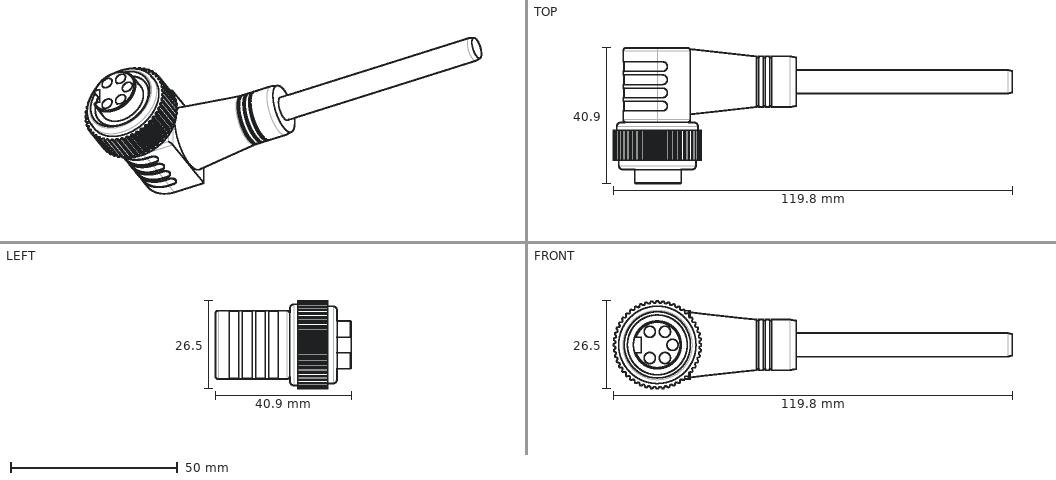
import cadquery as cq
import math


total_length = 119.8
total_depth = 40.9

elbow_radius = 10.3
elbow_right = 10.0
elbow_back = 10.2
elbow_front = -12.2
elbow_edge_fillet = 1.0
cone_base_radius = 9.8
sleeve_radius = 7.7
cone_end = 29.4
sleeve_end = 41.7
sleeve_tip_length = 1.9
sleeve_tip_drop = 0.4

ring_count = 3
ring_first = 30.2
ring_pitch = 1.9
ring_width = 0.6
ring_depth = 0.4

grip_count = 4
grip_pitch = 4.0
grip_width = 2.9
grip_depth = 0.2
grip_reach = 3.0
grip_first = -7.3

knurl_diameter = 26.5
knurl_radius = knurl_diameter / 2
knurl_depth = 0.6
tooth_count = 48
tooth_tip_share = 0.25
tooth_root_share = 0.25
knurl_back = -14.5
knurl_front = -23.6
back_collar_radius = 12.2
front_collar_radius = 11.6
collar_fillet = 1.2
nut_front = -26.4
recess_radius = 9.0
recess_depth = 1.2
recess_chamfer = 1.0

insert_radius = 7.2
insert_edge_chamfer = 0.4
insert_front = elbow_back - total_depth
socket_circle_radius = 4.5
socket_diameter = 3.4
socket_depth = 6.0
socket_angles = [-120, -60, 0, 60, 120]
key_slot_width = 4.7
key_slot_floor = 4.8

cable_radius = 3.6
cable_end = total_length - knurl_radius
cable_tip_length = 1.4
cable_tip_drop = 0.4


def xz_plane(y):
    """Work plane facing -Y at the given Y; its local axes are X and Z."""
    return cq.Workplane("XZ", origin=(0, y, 0))


def disc(radius, back, front):
    """Cylinder on the coupling axis from Y = back down to Y = front."""
    return xz_plane(back).circle(radius).extrude(back - front)


def elbow_block(offset, back, front):
    """D-shaped block whose round side faces -X, shrunk by offset on the round and flat sides."""
    radius = elbow_radius - offset
    return (
        xz_plane(back)
        .moveTo(elbow_right, radius)
        .lineTo(0, radius)
        .threePointArc((-radius, 0), (0, -radius))
        .lineTo(elbow_right, -radius)
        .close()
        .extrude(back - front)
    )


def cable_outlet():
    """Tapered outlet, plain sleeve and slightly drawn-in tip, turned about the cable axis."""
    return (
        cq.Workplane("XY")
        .moveTo(elbow_right, 0)
        .lineTo(elbow_right, cone_base_radius)
        .lineTo(cone_end, sleeve_radius)
        .lineTo(sleeve_end - sleeve_tip_length, sleeve_radius)
        .lineTo(sleeve_end, sleeve_radius - sleeve_tip_drop)
        .lineTo(sleeve_end, 0)
        .close()
        .revolve(360, (0, 0, 0), (1, 0, 0))
    )


def ring_groove(center):
    """Ring of material to remove around the cable outlet."""
    outer_radius = sleeve_radius + ring_width
    return (
        cq.Workplane("YZ", origin=(center - ring_width / 2, 0, 0))
        .circle(outer_radius)
        .circle(sleeve_radius - ring_depth)
        .extrude(ring_width)
    )


def grip_groove(center):
    """Shallow groove around the round side, ending in half rounds on the two flats."""
    half_width = grip_width / 2
    round_center = grip_reach - half_width
    left = -elbow_radius - grip_width
    outline = (
        cq.Workplane("XY", origin=(0, 0, -elbow_radius))
        .moveTo(left, center - half_width)
        .lineTo(round_center, center - half_width)
        .threePointArc((grip_reach, center), (round_center, center + half_width))
        .lineTo(left, center + half_width)
        .close()
        .extrude(2 * elbow_radius)
    )
    return outline.cut(elbow_block(grip_depth, elbow_back, elbow_front))


def make_housing():
    elbow = elbow_block(0, elbow_back, elbow_front)
    elbow = elbow.faces(">Y or <Y").edges().fillet(elbow_edge_fillet)
    housing = elbow.union(cable_outlet())
    for i in range(ring_count):
        housing = housing.cut(ring_groove(ring_first + i * ring_pitch))
    for i in range(grip_count):
        housing = housing.cut(grip_groove(grip_first + i * grip_pitch))
    return housing


def knurled_band():
    """Toothed band of the nut; each tooth is a trapezoid between root and tip radius."""
    pitch = 2 * math.pi / tooth_count
    half_tip = pitch * tooth_tip_share / 2
    half_root = pitch * (1 - tooth_root_share) / 2
    root_radius = knurl_radius - knurl_depth
    corners = [
        (root_radius, -half_root),
        (knurl_radius, -half_tip),
        (knurl_radius, half_tip),
        (root_radius, half_root),
    ]
    points = []
    for i in range(tooth_count):
        for radius, angle in corners:
            turn = i * pitch + angle
            points.append((radius * math.cos(turn), radius * math.sin(turn)))
    return xz_plane(knurl_back).polyline(points).close().extrude(knurl_back - knurl_front)


def make_nut():
    back_collar = disc(back_collar_radius, elbow_front, knurl_back)
    back_collar = back_collar.faces(">Y").edges().fillet(collar_fillet)
    front_collar = disc(front_collar_radius, knurl_front, nut_front)
    front_collar = front_collar.faces("<Y").edges().fillet(collar_fillet)
    nut = knurled_band().union(back_collar).union(front_collar)

    recess = disc(recess_radius, nut_front + recess_depth, nut_front)
    mouth = cq.Workplane(
        cq.Solid.makeCone(
            recess_radius,
            recess_radius + recess_chamfer,
            recess_chamfer,
            cq.Vector(0, nut_front + recess_chamfer, 0),
            cq.Vector(0, -1, 0),
        )
    )
    bore = disc(insert_radius, elbow_front, nut_front)
    return nut.cut(recess).cut(mouth).cut(bore)


def make_insert():
    insert = disc(insert_radius, elbow_front, insert_front)
    insert = insert.faces("<Y").edges().chamfer(insert_edge_chamfer)

    socket_centers = [
        (
            socket_circle_radius * math.cos(math.radians(angle)),
            socket_circle_radius * math.sin(math.radians(angle)),
        )
        for angle in socket_angles
    ]
    sockets = (
        xz_plane(insert_front + socket_depth)
        .pushPoints(socket_centers)
        .circle(socket_diameter / 2)
        .extrude(socket_depth)
    )

    slot_back = nut_front + recess_depth
    slot_center = -(key_slot_floor + insert_radius) / 2
    key_slot = (
        xz_plane(slot_back)
        .center(slot_center, 0)
        .rect(insert_radius - key_slot_floor, key_slot_width)
        .extrude(slot_back - insert_front)
    )
    return insert.cut(sockets).cut(key_slot)


def make_cable():
    return (
        cq.Workplane("XY")
        .moveTo(sleeve_end, 0)
        .lineTo(sleeve_end, cable_radius)
        .lineTo(cable_end - cable_tip_length, cable_radius)
        .lineTo(cable_end, cable_radius - cable_tip_drop)
        .lineTo(cable_end, 0)
        .close()
        .revolve(360, (0, 0, 0), (1, 0, 0))
    )


housing = make_housing()
nut = make_nut()
insert = make_insert()
cable = make_cable()

result = cq.Compound.makeCompound([housing.val(), nut.val(), insert.val(), cable.val()])